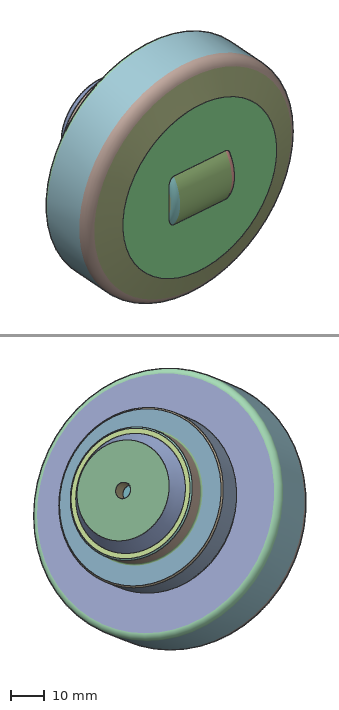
import cadquery as cq
import math

overall_length = 48.0
collar_start = 5.0
flange_start = 11.5
flange_end = 21.4
wheel_start = 21.9
wheel_end = 45.1

nose_tip_radius = 15.1
nose_angle = math.radians(30)
collar_radius = 40 / 2
flange_radius = 54.0 / 2
spacer_radius = 52.0 / 2
edge_size = 0.5
center_hole_diameter = 4.9
center_hole_depth = 4.9

wheel_radius = 40.85
front_round = 2.0
back_round = 4.0
back_face_radius = 29.8
back_taper_angle = math.radians(20)

roller_radius = 14.5
roller_width = 24.0
roller_round = 2.0


def make_hub():
    """Revolve the tapered nose, collar, flange and spacer about X."""
    nose_base_radius = nose_tip_radius + collar_start * math.tan(nose_angle)
    root_middle = edge_size * (1 - math.sqrt(0.5))
    return (
        cq.Workplane("XY")
        .moveTo(0, 0)
        .lineTo(0, nose_tip_radius)
        .lineTo(collar_start, nose_base_radius)
        .lineTo(collar_start, collar_radius - edge_size)
        .lineTo(collar_start + edge_size, collar_radius)
        .lineTo(flange_start - edge_size, collar_radius)
        .threePointArc(
            (flange_start - root_middle, collar_radius + root_middle),
            (flange_start, collar_radius + edge_size),
        )
        .lineTo(flange_start, flange_radius - edge_size)
        .lineTo(flange_start + edge_size, flange_radius)
        .lineTo(flange_end - edge_size, flange_radius)
        .lineTo(flange_end, flange_radius - edge_size)
        .lineTo(flange_end, spacer_radius)
        .lineTo(wheel_start, spacer_radius)
        .lineTo(wheel_start, 0)
        .close()
        .revolve(360, (0, 0, 0), (1, 0, 0))
    )


def make_wheel():
    """Revolve the wheel, with its back rounding tangent to rim and taper."""
    round_end_radius = wheel_radius - back_round * (1 - math.sin(back_taper_angle))
    taper_depth = (round_end_radius - back_face_radius) * math.tan(back_taper_angle)
    round_start = wheel_end - taper_depth - back_round * math.cos(back_taper_angle)
    middle_angle = (math.pi / 2 + back_taper_angle) / 2
    front_middle = front_round * (1 - math.sqrt(0.5))
    return (
        cq.Workplane("XY")
        .moveTo(wheel_start, 0)
        .lineTo(wheel_start, wheel_radius - front_round)
        .threePointArc(
            (wheel_start + front_middle, wheel_radius - front_middle),
            (wheel_start + front_round, wheel_radius),
        )
        .lineTo(round_start, wheel_radius)
        .threePointArc(
            (
                round_start + back_round * math.cos(middle_angle),
                wheel_radius - back_round * (1 - math.sin(middle_angle)),
            ),
            (wheel_end - taper_depth, round_end_radius),
        )
        .lineTo(wheel_end, back_face_radius)
        .lineTo(wheel_end, 0)
        .close()
        .revolve(360, (0, 0, 0), (1, 0, 0))
    )


def make_roller():
    """Round-edged roller with its axis along Y, mostly buried in the wheel."""
    return (
        cq.Workplane("XZ")
        .center(overall_length - roller_radius, 0)
        .circle(roller_radius)
        .extrude(roller_width / 2, both=True)
        .edges()
        .fillet(roller_round)
    )


def make_center_hole():
    """Blind hole in the tip of the nose."""
    return cq.Workplane("YZ").circle(center_hole_diameter / 2).extrude(center_hole_depth)


result = make_hub().union(make_wheel()).union(make_roller()).cut(make_center_hole())